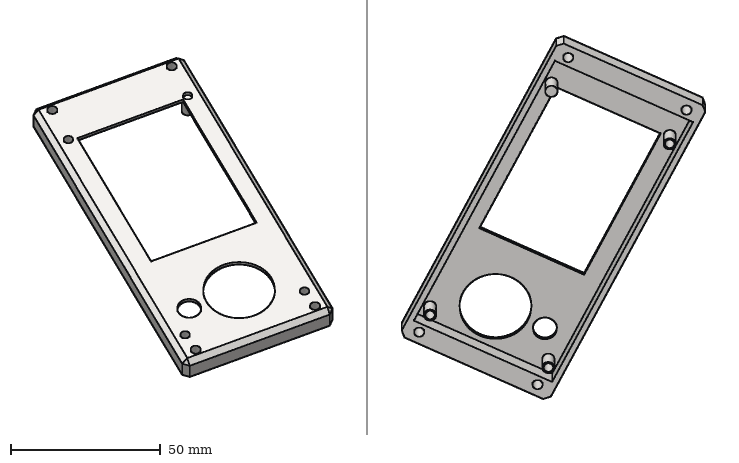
import cadquery as cq

length = 121.0
width = 55.5
height = 8.0
edge_chamfer = 1.9

plate_thickness = 1.5
end_wall = 7.0
side_wall = 2.0

window_length = 58.1
window_width = 39.0
window_x = -13.1
window_y = 0.2

opening_x = 39.6
large_diameter = 24.0
large_y = 2.2
small_diameter = 8.0
small_y = -16.2

corner_hole_diameter = 3.4
corner_hole_inset = 4.0
corner_hole_y_centre = 0.2
corner_hole_y_offset = 22.0
board_hole_diameter = 3.1
board_hole_y_centre = -0.2
board_hole_y_offset = 22.0
board_hole_left_x = -42.8
board_hole_right_x = 49.2
blind_depth = 1.6
post_diameter = 4.1


def upright_cylinders(points, diameter):
    """Vertical cylinders as tall as the part."""
    return cq.Workplane("XY").pushPoints(points).circle(diameter / 2).extrude(height)


body = cq.Workplane("XY").box(length, width, height, centered=(True, True, False))
body = body.edges("|Z or >Z").chamfer(edge_chamfer)

recess = cq.Workplane("XY").box(
    length - 2 * end_wall,
    width - 2 * side_wall,
    height - plate_thickness,
    centered=(True, True, False),
)
body = body.cut(recess)

window = cq.Workplane("XY").center(window_x, window_y).rect(window_length, window_width).extrude(height)
body = body.cut(window)
body = body.cut(upright_cylinders([(opening_x, large_y)], large_diameter))
body = body.cut(upright_cylinders([(opening_x, small_y)], small_diameter))

corner_x = length / 2 - corner_hole_inset
corner_front_y = corner_hole_y_centre - corner_hole_y_offset
corner_rear_y = corner_hole_y_centre + corner_hole_y_offset
corner_points = [(x, y) for x in (-corner_x, corner_x) for y in (corner_front_y, corner_rear_y)]
body = body.cut(upright_cylinders(corner_points, corner_hole_diameter))

board_front_y = board_hole_y_centre - board_hole_y_offset
board_rear_y = board_hole_y_centre + board_hole_y_offset
through_points = [
    (board_hole_left_x, board_front_y),
    (board_hole_right_x, board_front_y),
    (board_hole_right_x, board_rear_y),
]
blind_point = (board_hole_left_x, board_rear_y)
body = body.union(upright_cylinders(through_points + [blind_point], post_diameter))

body = body.cut(upright_cylinders(through_points, board_hole_diameter))
blind_hole = upright_cylinders([blind_point], board_hole_diameter)
body = body.cut(blind_hole.translate((0, 0, height - blind_depth)))

result = body